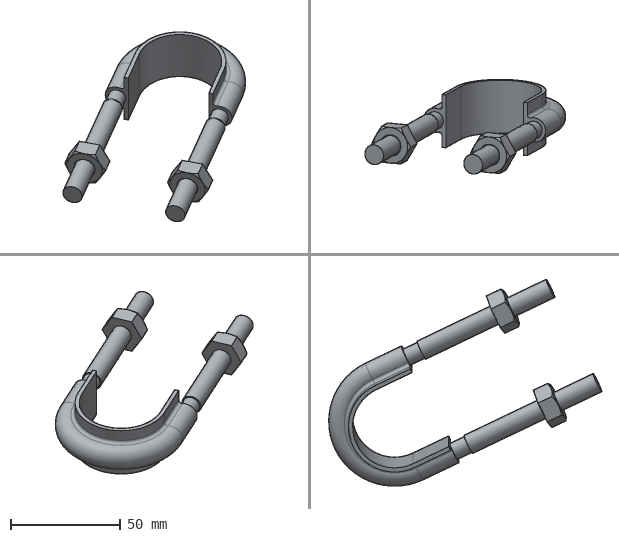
import cadquery as cq
import math

total_length = 121.8
total_width = 68.6
nut_across_corners = 19.5
bend_radius = (total_width - nut_across_corners) / 2

shank_diameter = 8.2
thread_diameter = 9.3
thread_length = 65.9

saddle_width = 25.0
strip_inner_radius = 19.3
strip_thickness = 2.0
bead_radius = 5.7
bead_fillet = 1.5
saddle_end_y = 73.4
bend_center_y = total_length - bend_radius - bead_radius

nut_start_y = 20.0
nut_thickness = 8.0
nut_face_diameter = 16.8
nut_chamfer_angle = math.radians(30)
nut_bore_mouth_diameter = 10.0


def leg_section(x, y, diameter, length):
    """Round length of a leg, running in +Y from the given start."""
    return cq.Workplane("XZ", origin=(x, y, 0)).circle(diameter / 2).extrude(-length)


def u_path(start_y):
    """Centerline of the U: straight leg, half-circle bend, straight leg."""
    return (
        cq.Workplane("XY")
        .moveTo(-bend_radius, start_y)
        .lineTo(-bend_radius, bend_center_y)
        .threePointArc((0, bend_center_y + bend_radius), (bend_radius, bend_center_y))
        .lineTo(bend_radius, start_y)
    )


def make_rod():
    """Bent shank with a thicker threaded length on each leg."""
    rod = (
        cq.Workplane("XZ", origin=(-bend_radius, thread_length, 0))
        .circle(shank_diameter / 2)
        .sweep(u_path(thread_length))
    )
    for x in (-bend_radius, bend_radius):
        rod = rod.union(leg_section(x, 0, thread_diameter, thread_length))
    return rod


def saddle_profile(workplane):
    """Strip and bead section; local x is the distance outward from the U's mid-plane."""
    strip_outer = strip_inner_radius + strip_thickness
    half_width = saddle_width / 2

    fillet_x = strip_outer + bead_fillet
    center_distance = bead_radius + bead_fillet
    fillet_z = math.sqrt(center_distance**2 - (bend_radius - fillet_x) ** 2)
    tangent_x = bend_radius + (fillet_x - bend_radius) * bead_radius / center_distance
    tangent_z = fillet_z * bead_radius / center_distance

    toward_strip = math.pi
    toward_bead = math.atan2(-fillet_z, bend_radius - fillet_x) + 2 * math.pi
    middle_angle = (toward_strip + toward_bead) / 2
    middle_x = fillet_x + bead_fillet * math.cos(middle_angle)
    middle_z = fillet_z + bead_fillet * math.sin(middle_angle)

    return (
        workplane.moveTo(strip_inner_radius, -half_width)
        .lineTo(strip_outer, -half_width)
        .lineTo(strip_outer, -fillet_z)
        .threePointArc((middle_x, -middle_z), (tangent_x, -tangent_z))
        .threePointArc((bend_radius + bead_radius, 0), (tangent_x, tangent_z))
        .threePointArc((middle_x, middle_z), (strip_outer, fillet_z))
        .lineTo(strip_outer, half_width)
        .lineTo(strip_inner_radius, half_width)
        .close()
    )


def make_saddle(rod):
    """Bend and two straight sides of the saddle, with a channel that fits the rod."""
    bend_plane = cq.Workplane("XZ", origin=(0, bend_center_y, 0))
    bend = saddle_profile(bend_plane).revolve(180, (0, 0, 0), (0, 1, 0))
    side_plane = cq.Workplane("XZ", origin=(0, saddle_end_y, 0))
    right_side = saddle_profile(side_plane).extrude(saddle_end_y - bend_center_y)
    left_side = right_side.mirror("YZ")
    return bend.union(right_side).union(left_side).cut(rod)


def make_nut(x):
    """Hex nut with its outer corners chamfered on the -Y face and a countersunk bore."""
    face = cq.Workplane("XZ", origin=(x, nut_start_y, 0))
    nut = face.polygon(6, nut_across_corners).extrude(-nut_thickness)

    corner_radius = nut_across_corners / 2
    face_radius = nut_face_diameter / 2
    chamfer_height = (corner_radius - face_radius) * math.tan(nut_chamfer_angle)
    corner_envelope = (
        cq.Workplane("XY", origin=(x, nut_start_y, 0))
        .lineTo(face_radius, 0)
        .lineTo(corner_radius, chamfer_height)
        .lineTo(corner_radius, nut_thickness)
        .lineTo(0, nut_thickness)
        .close()
        .revolve(360, (0, 0, 0), (0, 1, 0))
    )
    nut = nut.intersect(corner_envelope)

    nut = nut.cut(leg_section(x, nut_start_y, thread_diameter, nut_thickness))
    countersink_depth = (nut_bore_mouth_diameter - thread_diameter) / 2
    bore_mouth = nut.faces("<Y").edges("%CIRCLE").edges(cq.selectors.RadiusNthSelector(0))
    return bore_mouth.chamfer(countersink_depth)


rod = make_rod()
saddle = make_saddle(rod)
nuts = [make_nut(x) for x in (-bend_radius, bend_radius)]

bodies = [rod, saddle, *nuts]
result = cq.Compound.makeCompound([body.solids().val() for body in bodies])